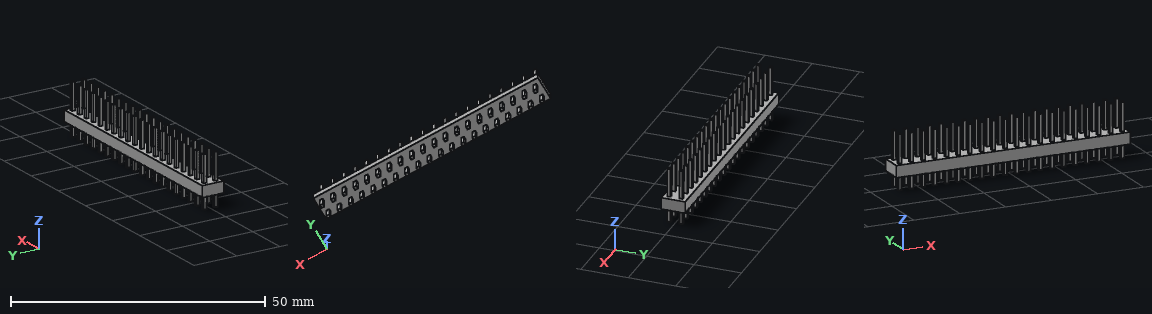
import cadquery as cq

pitch = 2.55
columns = 20
rows = 2
body_height = 2.55
pin_width = 0.65
pin_above = 6.05
pin_below = 3.0

body_length = columns * pitch
body_width = rows * pitch
pin_length = pin_below + body_height + pin_above


def make_body():
    """Plain rectangular body, centred in X and Y, resting on Z = 0."""
    return cq.Workplane("XY").box(body_length, body_width, body_height, centered=(True, True, False))


def make_pins():
    """Square pins, one at the centre of each cell, passing through the body."""
    return (
        cq.Workplane("XY", origin=(0, 0, -pin_below))
        .rarray(pitch, pitch, columns, rows)
        .rect(pin_width, pin_width)
        .extrude(pin_length)
    )


result = make_body().union(make_pins())